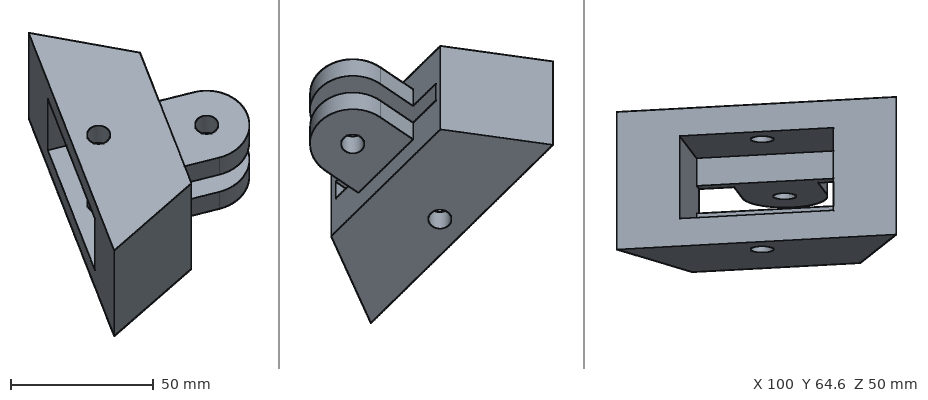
import cadquery as cq
import math

LENGTH = 100.0
BACK_LENGTH = 60.0
HEIGHT = 50.0
SIDE_ANGLE = 60.0
DEPTH = (LENGTH - BACK_LENGTH) / 2 * math.tan(math.radians(SIDE_ANGLE))

POCKET_LENGTH = 55.0
POCKET_HEIGHT = 30.0
POCKET_DEPTH = 30.0

LUG_WIDTH = 30.0
LUG_THICKNESS = 10.0
LUG_GAP = POCKET_HEIGHT - 2 * LUG_THICKNESS
LUG_RADIUS = LUG_WIDTH / 2
LUG_CENTER_Y = DEPTH + LUG_RADIUS

HOLE_DIAMETER = 8.1
BODY_HOLE_Y = 10.0

MID_HEIGHT = HEIGHT / 2


def make_body():
    """Trapezoidal prism, symmetric about X = 0."""
    outline = [
        (-LENGTH / 2, 0),
        (LENGTH / 2, 0),
        (BACK_LENGTH / 2, DEPTH),
        (-BACK_LENGTH / 2, DEPTH),
    ]
    return cq.Workplane("XY").polyline(outline).close().extrude(HEIGHT)


def make_opening(height, depth):
    """Cutter entering from the long face, centred at mid height."""
    return (
        cq.Workplane("XY")
        .box(POCKET_LENGTH, depth, height, centered=(True, False, True))
        .translate((0, 0, MID_HEIGHT))
    )


def make_lug(bottom):
    """Round-ended lug whose lower face is at the given height."""
    return (
        cq.Workplane("XY", origin=(0, 0, bottom))
        .moveTo(-LUG_RADIUS, DEPTH)
        .lineTo(LUG_RADIUS, DEPTH)
        .lineTo(LUG_RADIUS, LUG_CENTER_Y)
        .threePointArc((0, LUG_CENTER_Y + LUG_RADIUS), (-LUG_RADIUS, LUG_CENTER_Y))
        .close()
        .extrude(LUG_THICKNESS)
    )


result = make_body()

result = result.cut(make_opening(POCKET_HEIGHT, POCKET_DEPTH))
result = result.cut(make_opening(LUG_GAP, DEPTH))

for lug_bottom in (MID_HEIGHT - LUG_GAP / 2 - LUG_THICKNESS, MID_HEIGHT + LUG_GAP / 2):
    result = result.union(make_lug(lug_bottom))

holes = (
    cq.Workplane("XY")
    .pushPoints([(0, BODY_HOLE_Y), (0, LUG_CENTER_Y)])
    .circle(HOLE_DIAMETER / 2)
    .extrude(HEIGHT)
)
result = result.cut(holes)